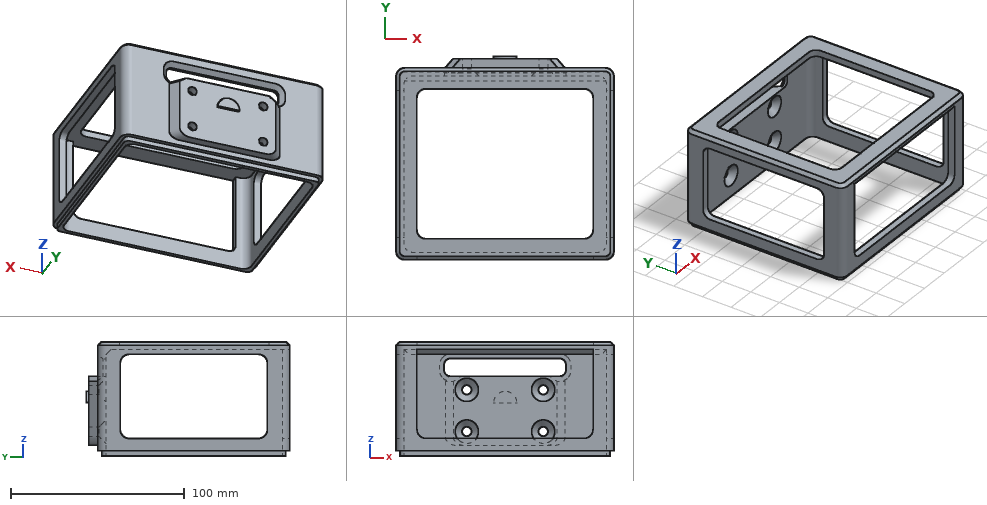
import cadquery as cq

frame_length = 125.6
frame_depth = 110.6
frame_height = 65.85
wall = 4.5
roof = 4.3
outer_corner_radius = 5.2
inner_corner_radius = 5.0
top_chamfer = 2.1

lip_height = 3.0
lip_inset = wall / 2
lip_corner_radius = outer_corner_radius - lip_inset

window_corner_radius = 5.0
window_margin = 12.15
roof_window_depth = 86.1
window_sill = 10.3
side_window_margin = 13.05

ceiling_slope = 3.0

slot_length = 70.0
slot_bottom = 46.1
slot_top = 56.15
slot_corner_radius = 3.5
slot_flare = 2.8

plate_thickness = 5.2
plate_bottom = 6.3
plate_top = slot_bottom
plate_base_length = 69.0
plate_end_taper = 4.6
plate_chamfer_x = 4.2
plate_chamfer_z = 3.0
plate_bottom_radius = 5.0

key_radius = 6.7
key_base_height = 30.8
key_thickness = 1.5

hole_diameter = 5.3
countersink_diameter = 13.4
hole_spacing_x = 44.0
hole_spacing_z = 24.0
lower_hole_height = 14.2

cavity_length = frame_length - 2 * wall
cavity_depth = frame_depth - 2 * wall
ceiling_height = frame_height - roof
slope_height = ceiling_height - ceiling_slope
front_face = -frame_depth / 2
rear_face = frame_depth / 2
rear_inner_face = rear_face - wall
plate_face = rear_face + plate_thickness
plate_root = rear_face - slot_flare
plate_face_half_length = plate_base_length / 2 - plate_end_taper
plate_root_half_length = plate_base_length / 2 + slot_flare * plate_end_taper / plate_thickness
window_length = frame_length - 2 * window_margin


def upright_block(length, depth, bottom, top, radius):
    """Block centred on the Z axis with rounded vertical edges."""
    block = cq.Workplane("XY").workplane(offset=bottom).rect(length, depth).extrude(top - bottom)
    return block.edges("|Z").fillet(radius)


def box_between(x_range, y_range, z_range):
    """Box spanning the given (low, high) ranges."""
    sizes = [high - low for low, high in (x_range, y_range, z_range)]
    corner = (x_range[0], y_range[0], z_range[0])
    return cq.Workplane("XY").box(*sizes, centered=False).translate(corner)


def make_shell():
    """Chamfered box with its bottom lip and the cavity open to below."""
    body = upright_block(frame_length, frame_depth, lip_height, frame_height, outer_corner_radius)
    body = body.faces(">Z").edges().chamfer(top_chamfer)
    lip = upright_block(
        frame_length - 2 * lip_inset,
        frame_depth - 2 * lip_inset,
        0,
        lip_height,
        lip_corner_radius,
    )
    cavity = upright_block(cavity_length, cavity_depth, 0, ceiling_height, inner_corner_radius)
    slope = (
        cq.Workplane("YZ")
        .moveTo(rear_inner_face, slope_height)
        .lineTo(rear_inner_face, ceiling_height)
        .lineTo(rear_inner_face - ceiling_slope, ceiling_height)
        .close()
        .extrude(frame_length, both=True)
    )
    return body.union(lip).cut(cavity.cut(slope))


def make_windows():
    """Cutters for the roof, the front wall and both side walls."""
    roof_window = upright_block(
        window_length,
        roof_window_depth,
        slope_height,
        frame_height,
        window_corner_radius,
    )
    front_window = box_between(
        (-window_length / 2, window_length / 2),
        (front_face, front_face + wall),
        (window_sill, ceiling_height),
    )
    front_window = front_window.edges("|Y and <Z").fillet(window_corner_radius)
    side_half_depth = frame_depth / 2 - side_window_margin
    side_windows = box_between(
        (-frame_length / 2, frame_length / 2),
        (-side_half_depth, side_half_depth),
        (window_sill, slope_height),
    )
    side_windows = side_windows.edges("|X").fillet(window_corner_radius)
    return roof_window.union(front_window).union(side_windows)


def make_slot():
    """Cutter for the rear wall slot, flared at 45 degrees toward the outside."""
    half_length = slot_length / 2
    slot = box_between(
        (-half_length, half_length),
        (rear_inner_face - ceiling_slope, rear_face),
        (slot_bottom, slot_top),
    )
    slot = slot.edges("|Y").fillet(slot_corner_radius)
    flare = box_between(
        (-half_length - slot_flare, half_length + slot_flare),
        (plate_root, plate_face),
        (slot_bottom - slot_flare, slot_top + slot_flare),
    )
    flare = flare.edges("|Y").fillet(slot_corner_radius + slot_flare)
    flare = flare.faces("<Y").edges().chamfer(slot_flare)
    return slot.union(flare)


def make_plate_corner(side):
    """Wedge removed from one upper corner, its slope following the tapered end."""
    profile = [
        (side * (plate_root_half_length - plate_chamfer_x), plate_top),
        (side * plate_root_half_length, plate_top),
        (side * plate_root_half_length, plate_top - plate_chamfer_z),
    ]
    end_run = plate_root_half_length - plate_face_half_length
    root_to_face = cq.Vector(-side * end_run, plate_face - plate_root, 0)
    corners = [cq.Vector(x, plate_root, z) for x, z in profile]
    wire = cq.Wire.makePolygon(corners, close=True)
    return cq.Workplane(cq.Solid.extrudeLinear(wire, [], root_to_face))


def make_plate():
    """Tapered mounting plate with chamfered upper and rounded lower corners."""
    outline = [
        (-plate_root_half_length, plate_root),
        (plate_root_half_length, plate_root),
        (plate_face_half_length, plate_face),
        (-plate_face_half_length, plate_face),
    ]
    plate = cq.Workplane("XY", origin=(0, 0, plate_bottom)).polyline(outline).close()
    plate = plate.extrude(plate_top - plate_bottom)
    lower_ends = plate.faces("<Z").edges("not |X")
    plate = lower_ends.fillet(plate_bottom_radius)
    for side in (-1, 1):
        plate = plate.cut(make_plate_corner(side))
    return plate


def make_key():
    """Half disc, round side up, on the outer face of the plate."""
    return (
        cq.Workplane("XZ", origin=(0, plate_face, 0))
        .moveTo(-key_radius, key_base_height)
        .threePointArc((0, key_base_height + key_radius), (key_radius, key_base_height))
        .close()
        .extrude(-key_thickness)
    )


def make_screw_hole(x, z):
    """Through hole with a 90 degree countersink opening into the cavity."""
    hole_radius = hole_diameter / 2
    sink_radius = countersink_diameter / 2
    start = cq.Vector(x, rear_inner_face, z)
    rearward = cq.Vector(0, 1, 0)
    shank = cq.Solid.makeCylinder(hole_radius, wall + plate_thickness, start, rearward)
    sink = cq.Solid.makeCone(sink_radius, hole_radius, sink_radius - hole_radius, start, rearward)
    return cq.Workplane(shank.fuse(sink))


result = make_shell().cut(make_windows()).cut(make_slot())
result = result.union(make_plate()).union(make_key())
for hole_x in (-hole_spacing_x / 2, hole_spacing_x / 2):
    for hole_z in (lower_hole_height, lower_hole_height + hole_spacing_z):
        result = result.cut(make_screw_hole(hole_x, hole_z))